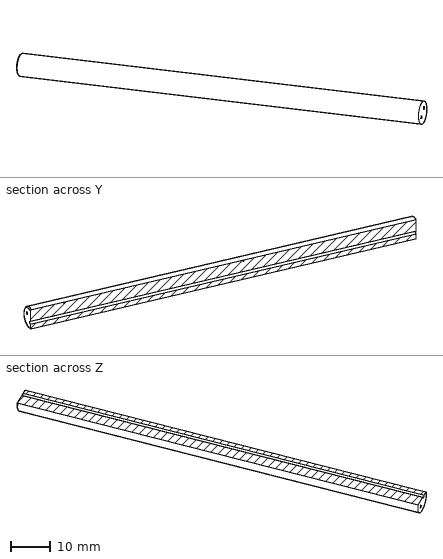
import cadquery as cq
import math

rod_length = 110.0
rod_diameter = 6.0
end_chamfer = 0.3
channel_diameter = 0.7
channel_circle_diameter = 2.7
channel_count = 2
first_channel_angle = 45.0


def make_rod():
    """Round rod along X, starting at X = 0, with its -X rim chamfered."""
    rod = cq.Workplane("YZ").circle(rod_diameter / 2).extrude(rod_length)
    return rod.faces("<X").chamfer(end_chamfer)


def make_channel(angle):
    """Straight lengthwise channel at the given angle around the rod axis."""
    radius = channel_circle_diameter / 2
    y = radius * math.cos(math.radians(angle))
    z = radius * math.sin(math.radians(angle))
    return cq.Workplane("YZ").center(y, z).circle(channel_diameter / 2).extrude(rod_length)


result = make_rod()
for index in range(channel_count):
    channel_angle = first_channel_angle + index * 360.0 / channel_count
    result = result.cut(make_channel(channel_angle))